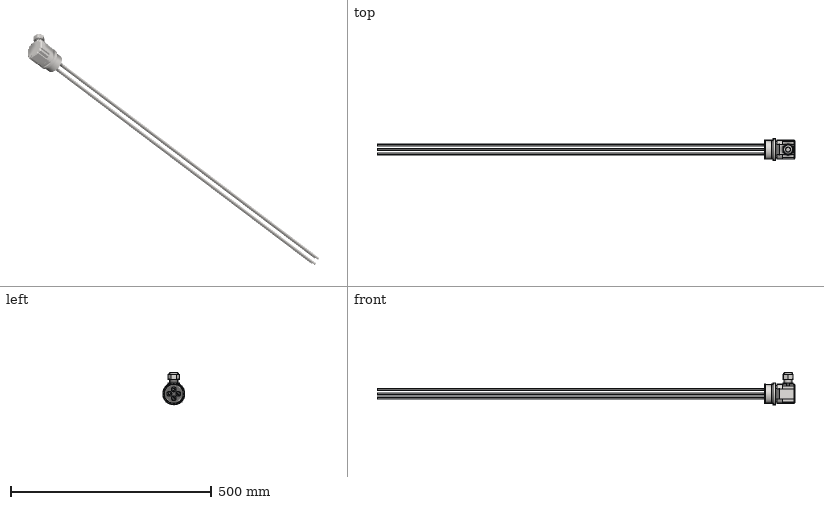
import cadquery as cq
import math

total_length = 1044.0
total_height = 81.01
rod_reach = 967.0
rear_end = total_length - rod_reach

rod_diameter = 5.0
rod_circle_radius = 11.0
rod_count = 4
rod_recess_diameter = 12.0
rod_recess_depth = 3.0

body_diameter = 47.8
flange_diameter = 55.0
flange_start = 22.0
flange_end = 28.5
waist_start = 2.5
waist_end = 18.5
waist_diameter = 47.5

neck_diameter = 50.0
neck_across_flats = 42.0

housing_start = 31.5
housing_diameter = 53.9
housing_across_flats = body_diameter
seam_start = 37.0
seam_width = 1.0
seam_depth = 0.5
corner_step_start = 45.0
corner_step_across = 40.0
rear_chamfer = 2.5

gland_x = 59.5
gland_top = total_height - flange_diameter / 2
hex_sides = 6
hex_across_flats = 25.0
lower_hex_top = 27.5
gland_neck_diameter = 20.6
upper_hex_bottom = 36.0
upper_hex_top = 48.5
cap_diameter = 23.0
cap_fillet = 4.5
cable_bore_diameter = 12.0
cable_bore_depth = 10.0


def cylinder_x(diameter, start, end):
    """Cylinder on the X axis from x = start to x = end."""
    return cq.Workplane("YZ").workplane(offset=start).circle(diameter / 2).extrude(end - start)


def block_x(width, height, start, end):
    """Block centred on the X axis, width along Y and height along Z."""
    return cq.Workplane("YZ").workplane(offset=start).rect(width, height).extrude(end - start)


def flatted_cylinder(diameter, across_flats, start, end):
    """Cylinder on the X axis with flats on its +-Y and +-Z sides."""
    square = block_x(across_flats, across_flats, start, end)
    return cylinder_x(diameter, start, end).intersect(square)


def make_body():
    body = cylinder_x(body_diameter, 0, flange_start)
    band = cylinder_x(body_diameter, waist_start, waist_end)
    band = band.cut(cylinder_x(waist_diameter, waist_start, waist_end))
    body = body.cut(band)
    flange = cylinder_x(flange_diameter, flange_start, flange_end)
    neck = flatted_cylinder(neck_diameter, neck_across_flats, flange_end, housing_start)
    return body.union(flange).union(neck)


def make_housing():
    collar = flatted_cylinder(
        housing_diameter, housing_across_flats, housing_start, corner_step_start
    )
    seam_end = seam_start + seam_width
    seam_across_flats = housing_across_flats - 2 * seam_depth
    seam = block_x(housing_diameter, housing_diameter, seam_start, seam_end)
    seam = seam.cut(block_x(seam_across_flats, seam_across_flats, seam_start, seam_end))

    flat_width = math.sqrt(housing_diameter**2 - housing_across_flats**2)
    core = block_x(corner_step_across, corner_step_across, corner_step_start, rear_end)
    side_pads = block_x(housing_across_flats, flat_width, corner_step_start, rear_end)
    upper_lower_pads = block_x(flat_width, housing_across_flats, corner_step_start, rear_end)
    rear = core.union(side_pads)
    rear = rear.union(upper_lower_pads)
    rear = rear.faces(">X").edges().chamfer(rear_chamfer)
    return collar.cut(seam).union(rear)


def gland_plane(z):
    return cq.Workplane("XY", origin=(gland_x, 0, z))


def hexagon(bottom, top):
    """Hexagonal nut with flats facing +-X."""
    half_side_angle = 180 / hex_sides
    corner_diameter = hex_across_flats / math.cos(math.radians(half_side_angle))
    nut = gland_plane(bottom).polygon(hex_sides, corner_diameter).extrude(top - bottom)
    return nut.rotate((gland_x, 0, 0), (gland_x, 0, 1), half_side_angle)


def make_gland():
    lower_nut = hexagon(0, lower_hex_top)
    neck = gland_plane(0).circle(gland_neck_diameter / 2).extrude(upper_hex_bottom)
    upper_nut = hexagon(upper_hex_bottom, upper_hex_top)
    cap_height = gland_top - upper_hex_bottom
    cap = gland_plane(upper_hex_bottom).circle(cap_diameter / 2).extrude(cap_height)
    cap = cap.faces(">Z").edges().fillet(cap_fillet)
    bore = gland_plane(gland_top - cable_bore_depth).circle(cable_bore_diameter / 2)
    gland = lower_nut.union(neck).union(upper_nut).union(cap)
    return gland.cut(bore.extrude(cable_bore_depth))


def on_rod_circle(diameter, start, end):
    """Cylinders along X at the four rod positions."""
    return (
        cq.Workplane("YZ")
        .workplane(offset=start)
        .polarArray(rod_circle_radius, 0, 360, rod_count)
        .circle(diameter / 2)
        .extrude(end - start)
    )


result = make_body().union(make_housing()).union(make_gland())
result = result.cut(on_rod_circle(rod_recess_diameter, 0, rod_recess_depth))
result = result.union(on_rod_circle(rod_diameter, -rod_reach, rod_recess_depth))